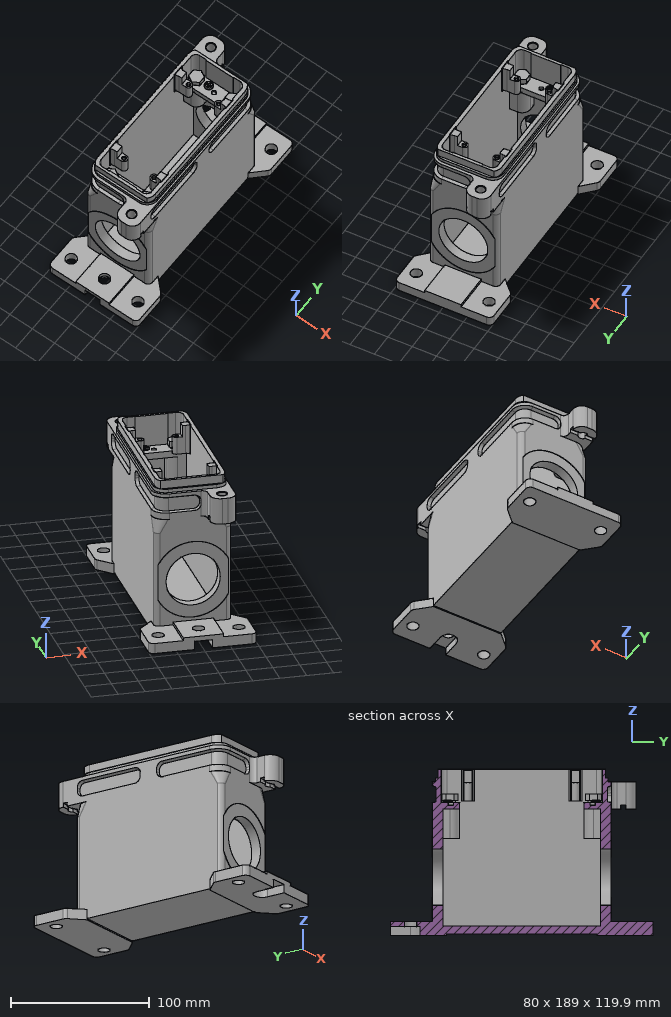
import cadquery as cq
import math

TOTAL_HEIGHT = 119.9
FLANGE_BOTTOM = 90.9
FLANGE_TOP = 110.8
LOWER_LIP_TOP = 113.5
BODY_BOTTOM = 1.0
CONE_BOTTOM = 80.6

FOOT_WIDTH = 80.0
FOOT_OUTER_Y = 94.5
FOOT_INNER_Y = 54.0
FOOT_THICKNESS = 8.0
FOOT_CORNER_RADIUS = 4.0
FOOT_HOLE_DIAMETER = 8.8
FOOT_HOLE_X = 30.0
FOOT_HOLE_Y = 80.0
PAD_WIDTH = 30.0
PAD_TOP = 10.2
NUT_SLOT_WIDTH = 13.3
NUT_SLOT_HEIGHT = 6.4

BODY_WIDTH = 57.4
BODY_LENGTH = 129.2
BODY_RADIUS = 4.1
CONE_TOP_RADIUS = 10.0

PORT_Z = 42.1
PORT_DIAMETER = 40.2
SEAT_DIAMETER = 59.0
SEAT_DEPTH = 0.3

FLANGE_RADIUS = 11.0
EAR_WIDTH = 19.0
EAR_END_Y = 82.4
EAR_RADIUS = 7.5
EAR_ROOT_RADIUS = 4.0
EAR_HOLE_Y = 73.1
EAR_HOLE_DIAMETER = 6.8
EAR_HOLE_CHAMFER = 0.5
EAR_GROOVE_WIDTH = 3.3
EAR_GROOVE_DEPTH = 3.0

GROOVE_BOTTOM = 95.9
GROOVE_TOP = 107.9
GROOVE_DEPTH = 2.8
GROOVE_END_RADIUS = 4.9
GROOVE_DRAFT_TOP = 1.1
GROOVE_DRAFT = 0.5
GROOVE_NEAR_Y = 7.2
GROOVE_FAR_Y = 62.5
GROOVE_END_X = 5.8

LOWER_LIP_WIDTH = 54.2
LOWER_LIP_LENGTH = 124.2
LIP_RADIUS = 9.2
UPPER_LIP_WIDTH = 52.0
UPPER_LIP_LENGTH = 120.6
UPPER_LIP_FULL_LENGTH = 125.8

CAVITY_WIDTH = 45.2
MOUTH_LENGTH = 116.6
MOUTH_RADIUS = 4.5
END_RIB_WIDTH = 24.6
END_RIB_DEPTH = 0.5
SHELF_Z = 96.0
SHELF_THICKNESS = 5.0
SHELF_INNER_Y = 44.8
FLOOR_Z = 7.0
WELL_LENGTH = 113.2
BOSS_BOTTOM = 70.0

BOLT_X = 16.0
BOLT_Y = 51.6
BOLT_ACROSS_FLATS = 10.0
BOLT_HEAD_HEIGHT = 6.0
WASHER_HEIGHT = 1.4
WASHER_DIAMETER = 8.0
SCREW_X = -6.2
SCREW_Y = 53.4
SCREW_DIAMETER = 6.8
SCREW_HEAD_HEIGHT = 1.5
SCREW_CHAMFER = 0.8
CROSS_LENGTH = 4.4
CROSS_WIDTH = 1.0
CROSS_DEPTH = 1.0
PIN_HOLE_Y = 51.1
PIN_HOLE_DIAMETER = 3.6
PIN_HOLE_DEPTH = 2.0

GUIDE_Y = 38.7
GUIDE_BOTTOM = 97.0
GUIDE_TOP = 119.0
GUIDE_WIDTH = 5.8
GUIDE_ROOT_WIDTH = 7.0
GUIDE_FACE_X = 17.4
GUIDE_FLARE_X = 19.8
POST_X = 13.5
POST_TOP = 110.2
POST_HOLE_DIAMETER = 2.0
POST_HOLE_CHAMFER = 0.7
POST_HOLE_DEPTH = 6.0
WALL_RELIEF_DEPTH = 0.6
WALL_RELIEF_WIDTH = 9.4

BOTH_SIDES = (-1, 1)
ARC_MIDPOINT = 1 - math.sin(math.radians(45))


def block(x_min, x_max, y_min, y_max, z_min, z_max):
    size = (x_max - x_min, y_max - y_min, z_max - z_min)
    return cq.Workplane("XY").box(*size, centered=False).translate((x_min, y_min, z_min))


def centred_block(width, length, z_min, z_max):
    return block(-width / 2, width / 2, -length / 2, length / 2, z_min, z_max)


def rounded_block(width, length, radius, z_min, z_max):
    return centred_block(width, length, z_min, z_max).edges("|Z").fillet(radius)


def rod(x, y, diameter, z_min, z_max):
    plane = cq.Workplane("XY", origin=(x, y, z_min))
    return plane.circle(diameter / 2).extrude(z_max - z_min)


def flared_mouth(x, y, z_top, hole_diameter, chamfer):
    """45 degree cone that chamfers the upper rim of a hole."""
    radius = hole_diameter / 2
    cone = cq.Solid.makeCone(radius, radius + chamfer, chamfer)
    return cq.Workplane(obj=cone).translate((x, y, z_top - chamfer))


def half_turned(shape):
    """The same shape turned half a turn about Z."""
    return shape.rotate((0, 0, 0), (0, 0, 1), 180)


def make_foot():
    """Foot at the +Y end, tapering at 45 degrees toward the body."""
    half_width = FOOT_WIDTH / 2
    neck_half_width = BODY_WIDTH / 2
    taper_y = FOOT_INNER_Y + half_width - neck_half_width
    outline = [
        (-neck_half_width, FOOT_INNER_Y),
        (-half_width, taper_y),
        (-half_width, FOOT_OUTER_Y),
        (half_width, FOOT_OUTER_Y),
        (half_width, taper_y),
        (neck_half_width, FOOT_INNER_Y),
    ]
    foot = cq.Workplane("XY").polyline(outline).close().extrude(FOOT_THICKNESS)
    foot = foot.edges("|Z").edges("not(<Y)").fillet(FOOT_CORNER_RADIUS)
    foot = foot.union(block(-PAD_WIDTH / 2, PAD_WIDTH / 2, FOOT_INNER_Y, FOOT_OUTER_Y, 0, PAD_TOP))
    for side in BOTH_SIDES:
        foot = foot.cut(rod(side * FOOT_HOLE_X, FOOT_HOLE_Y, FOOT_HOLE_DIAMETER, 0, FOOT_THICKNESS))
    return foot


def cut_centre_fixing(part):
    """Centre hole of the -Y foot with a round-ended nut slot beneath it."""
    part = part.cut(rod(0, -FOOT_HOLE_Y, FOOT_HOLE_DIAMETER, 0, PAD_TOP))
    part = part.cut(rod(0, -FOOT_HOLE_Y, NUT_SLOT_WIDTH, 0, NUT_SLOT_HEIGHT))
    half_width = NUT_SLOT_WIDTH / 2
    return part.cut(block(-half_width, half_width, -FOOT_OUTER_Y, -FOOT_HOLE_Y, 0, NUT_SLOT_HEIGHT))


def make_body():
    """Box body whose corner radius grows conically just below the flange."""
    body = rounded_block(BODY_WIDTH, BODY_LENGTH, BODY_RADIUS, BODY_BOTTOM, CONE_BOTTOM)
    small = cq.Sketch().rect(BODY_WIDTH, BODY_LENGTH).vertices().fillet(BODY_RADIUS)
    large = cq.Sketch().rect(BODY_WIDTH, BODY_LENGTH).vertices().fillet(CONE_TOP_RADIUS)
    large = large.moved(cq.Location(cq.Vector(0, 0, FLANGE_BOTTOM - CONE_BOTTOM)))
    cone = cq.Workplane("XY", origin=(0, 0, CONE_BOTTOM)).placeSketch(small, large).loft(ruled=True)
    return body.union(cone)


def make_ear():
    """Fixing ear at the +Y end, flush with the -X side of the flange."""
    height = FLANGE_TOP - FLANGE_BOTTOM
    outer_x = -BODY_WIDTH / 2
    inner_x = outer_x + EAR_WIDTH
    root_y = BODY_LENGTH / 2
    inside_y = root_y - FLANGE_RADIUS
    ear = (
        cq.Workplane("XY", origin=(0, 0, FLANGE_BOTTOM))
        .moveTo(outer_x, inside_y)
        .lineTo(outer_x, EAR_END_Y - EAR_RADIUS)
        .threePointArc(
            (outer_x + EAR_RADIUS * ARC_MIDPOINT, EAR_END_Y - EAR_RADIUS * ARC_MIDPOINT),
            (outer_x + EAR_RADIUS, EAR_END_Y),
        )
        .lineTo(inner_x - EAR_RADIUS, EAR_END_Y)
        .threePointArc(
            (inner_x - EAR_RADIUS * ARC_MIDPOINT, EAR_END_Y - EAR_RADIUS * ARC_MIDPOINT),
            (inner_x, EAR_END_Y - EAR_RADIUS),
        )
        .lineTo(inner_x, root_y + EAR_ROOT_RADIUS)
        .threePointArc(
            (inner_x + EAR_ROOT_RADIUS * ARC_MIDPOINT, root_y + EAR_ROOT_RADIUS * ARC_MIDPOINT),
            (inner_x + EAR_ROOT_RADIUS, root_y),
        )
        .lineTo(inner_x + EAR_ROOT_RADIUS, inside_y)
        .close()
        .extrude(height)
    )
    hole_x = (outer_x + inner_x) / 2
    hole = rod(hole_x, EAR_HOLE_Y, EAR_HOLE_DIAMETER, FLANGE_BOTTOM, FLANGE_TOP)
    mouth = flared_mouth(hole_x, EAR_HOLE_Y, FLANGE_TOP, EAR_HOLE_DIAMETER, EAR_HOLE_CHAMFER)
    groove = block(outer_x, inner_x, EAR_HOLE_Y - EAR_GROOVE_WIDTH / 2, EAR_HOLE_Y + EAR_GROOVE_WIDTH / 2,
                   FLANGE_BOTTOM, FLANGE_BOTTOM + EAR_GROOVE_DEPTH)
    return ear.cut(hole).cut(mouth).cut(groove)


def drafted_pocket(start, end):
    """Round-ended pocket along local x from start to end, sunk toward local -z, local y up.

    Its mouth lies on the local XY plane; the walls lean inward toward the floor."""
    def outline(inset, top):
        bottom = GROOVE_BOTTOM + inset
        sketch = cq.Sketch().rect(end - start - 2 * inset, top - bottom)
        sketch = sketch.vertices().fillet(GROOVE_END_RADIUS - inset)
        return sketch.moved(cq.Location(cq.Vector((start + end) / 2, (top + bottom) / 2, 0)))

    mouth = outline(0, GROOVE_TOP)
    floor = outline(GROOVE_DRAFT, GROOVE_TOP - GROOVE_DRAFT_TOP)
    floor = floor.moved(cq.Location(cq.Vector(0, 0, -GROOVE_DEPTH)))
    return cq.Workplane("XY").placeSketch(mouth, floor).loft(ruled=True).val()


def side_pocket(y_min, y_max):
    """Finger groove in the -X side."""
    plane = cq.Plane(origin=(-BODY_WIDTH / 2, 0, 0), xDir=(0, -1, 0), normal=(-1, 0, 0))
    return cq.Workplane(obj=drafted_pocket(-y_max, -y_min).moved(cq.Location(plane)))


def end_pocket(x_min, x_max):
    """Finger groove in the -Y end."""
    plane = cq.Plane(origin=(0, -BODY_LENGTH / 2, 0), xDir=(1, 0, 0), normal=(0, -1, 0))
    return cq.Workplane(obj=drafted_pocket(x_min, x_max).moved(cq.Location(plane)))


def corner_groove():
    """Finger groove that wraps around the (-X, -Y) corner of the flange."""
    axis_x = -BODY_WIDTH / 2 + FLANGE_RADIUS
    axis_y = -BODY_LENGTH / 2 + FLANGE_RADIUS
    floor_radius = FLANGE_RADIUS - GROOVE_DEPTH
    section = [
        (-FLANGE_RADIUS, GROOVE_BOTTOM),
        (-FLANGE_RADIUS, GROOVE_TOP),
        (-floor_radius, GROOVE_TOP - GROOVE_DRAFT_TOP),
        (-floor_radius, GROOVE_BOTTOM + GROOVE_DRAFT),
    ]
    bend = cq.Workplane("XZ").polyline(section).close().revolve(90, (0, 0), (0, 1))
    bend = bend.translate((axis_x, axis_y, 0))
    overshoot = 2 * FLANGE_RADIUS
    side_run = side_pocket(axis_y - overshoot, -GROOVE_NEAR_Y)
    side_run = side_run.intersect(block(-BODY_WIDTH, 0, axis_y, 0, 0, TOTAL_HEIGHT))
    end_run = end_pocket(axis_x - overshoot, GROOVE_END_X)
    end_run = end_run.intersect(block(axis_x, BODY_WIDTH, -BODY_LENGTH, 0, 0, TOTAL_HEIGHT))
    return bend, side_run, end_run


def make_flange():
    flange = rounded_block(BODY_WIDTH, BODY_LENGTH, FLANGE_RADIUS, FLANGE_BOTTOM, FLANGE_TOP)
    ear = make_ear()
    flange = flange.union(ear).union(half_turned(ear))
    for groove in (side_pocket(GROOVE_NEAR_Y, GROOVE_FAR_Y), *corner_groove()):
        flange = flange.cut(groove).cut(half_turned(groove))
    return flange


def make_lips():
    """Two-step rim above the flange; the upper step has its ends cut flat."""
    lower = rounded_block(LOWER_LIP_WIDTH, LOWER_LIP_LENGTH, LIP_RADIUS, FLANGE_TOP, LOWER_LIP_TOP)
    upper = rounded_block(
        UPPER_LIP_WIDTH, UPPER_LIP_FULL_LENGTH, LIP_RADIUS, LOWER_LIP_TOP, TOTAL_HEIGHT
    )
    upper = upper.intersect(centred_block(UPPER_LIP_WIDTH, UPPER_LIP_LENGTH, LOWER_LIP_TOP, TOTAL_HEIGHT))
    return lower.union(upper)


def make_mouth():
    """Open space above the shelves, with a shallow rib standing on each end wall."""
    mouth = rounded_block(CAVITY_WIDTH, MOUTH_LENGTH, MOUTH_RADIUS, SHELF_Z, TOTAL_HEIGHT)
    for end in BOTH_SIDES:
        rib_y = end * (MOUTH_LENGTH - END_RIB_DEPTH) / 2
        rib = centred_block(END_RIB_WIDTH, END_RIB_DEPTH, SHELF_Z, TOTAL_HEIGHT)
        mouth = mouth.cut(rib.translate((0, rib_y, 0)))
    return mouth


def make_shelf():
    """Shelf at the +Y end, with a bolt boss below it in each corner."""
    far_y = WELL_LENGTH / 2
    half_width = CAVITY_WIDTH / 2
    shelf_bottom = SHELF_Z - SHELF_THICKNESS
    boss_radius = BOLT_Y - SHELF_INNER_Y
    shelf = block(-half_width, half_width, SHELF_INNER_Y, far_y, shelf_bottom, SHELF_Z)
    for side in BOTH_SIDES:
        boss_x = side * BOLT_X
        wall_x = side * half_width
        web_x = sorted((boss_x, wall_x))
        inner_x = sorted((boss_x - side * boss_radius, wall_x))
        shelf = shelf.union(rod(boss_x, BOLT_Y, 2 * boss_radius, BOSS_BOTTOM, shelf_bottom))
        shelf = shelf.union(block(*web_x, SHELF_INNER_Y, BOLT_Y, BOSS_BOTTOM, shelf_bottom))
        shelf = shelf.union(block(*inner_x, BOLT_Y, far_y, BOSS_BOTTOM, shelf_bottom))
    return shelf


def make_cavity():
    """Mouth and well as one hollow, with the two shelves left standing in it."""
    well = centred_block(CAVITY_WIDTH, WELL_LENGTH, FLOOR_Z, SHELF_Z)
    shelf = make_shelf()
    return well.cut(shelf).cut(half_turned(shelf)).union(make_mouth())


def cut_port(part):
    """Cable port through both ends, each with a shallow flat seat."""
    plane = cq.Workplane("XZ", origin=(0, 0, PORT_Z))
    part = part.cut(plane.circle(PORT_DIAMETER / 2).extrude(BODY_LENGTH / 2, both=True))
    seat = cq.Workplane("XZ", origin=(0, -BODY_LENGTH / 2 + SEAT_DEPTH, PORT_Z))
    seat = seat.circle(SEAT_DIAMETER / 2).extrude(SEAT_DEPTH)
    return part.cut(seat).cut(half_turned(seat))


def make_screw(y):
    """Cross-recessed screw head."""
    head_top = SHELF_Z + SCREW_HEAD_HEIGHT
    head = rod(SCREW_X, y, SCREW_DIAMETER, SHELF_Z, head_top).faces(">Z").chamfer(SCREW_CHAMFER)
    for width, length in ((CROSS_LENGTH, CROSS_WIDTH), (CROSS_WIDTH, CROSS_LENGTH)):
        slot = centred_block(width, length, head_top - CROSS_DEPTH, head_top)
        head = head.cut(slot.translate((SCREW_X, y, 0)))
    return head


def add_shelf_hardware(part):
    across_corners = BOLT_ACROSS_FLATS / math.cos(math.radians(30))
    hexagon = cq.Workplane("XY", origin=(0, 0, WASHER_HEIGHT))
    hexagon = hexagon.polygon(6, across_corners).extrude(BOLT_HEAD_HEIGHT - WASHER_HEIGHT)
    bolt = hexagon.rotate((0, 0, 0), (0, 0, 1), 30).union(rod(0, 0, WASHER_DIAMETER, 0, WASHER_HEIGHT))
    for end in BOTH_SIDES:
        for side in BOTH_SIDES:
            part = part.union(bolt.translate((side * BOLT_X, end * BOLT_Y, SHELF_Z)))
        part = part.union(make_screw(end * SCREW_Y))
        part = part.cut(rod(0, end * PIN_HOLE_Y, PIN_HOLE_DIAMETER, SHELF_Z - PIN_HOLE_DEPTH, SHELF_Z))
    return part


def make_guide():
    """Guide rib and tapped post on the +X wall, centred on y = 0."""
    wall_x = CAVITY_WIDTH / 2 + WALL_RELIEF_DEPTH
    half_width = GUIDE_WIDTH / 2
    half_root = GUIDE_ROOT_WIDTH / 2
    outline = [
        (GUIDE_FACE_X, -half_width),
        (GUIDE_FLARE_X, -half_width),
        (wall_x, -half_root),
        (wall_x, half_root),
        (GUIDE_FLARE_X, half_width),
        (GUIDE_FACE_X, half_width),
    ]
    height = GUIDE_TOP - GUIDE_BOTTOM
    guide = cq.Workplane("XY", origin=(0, 0, GUIDE_BOTTOM)).polyline(outline).close().extrude(height)
    guide = guide.union(rod(POST_X, 0, GUIDE_WIDTH, GUIDE_BOTTOM, POST_TOP))
    guide = guide.union(block(POST_X, GUIDE_FACE_X, -half_width, half_width, GUIDE_BOTTOM, POST_TOP))
    guide = guide.cut(rod(POST_X, 0, POST_HOLE_DIAMETER, POST_TOP - POST_HOLE_DEPTH, POST_TOP))
    return guide.cut(flared_mouth(POST_X, 0, POST_TOP, POST_HOLE_DIAMETER, POST_HOLE_CHAMFER))


def add_guides(part):
    wall_x = CAVITY_WIDTH / 2
    half_relief = WALL_RELIEF_WIDTH / 2
    relief = block(wall_x, wall_x + WALL_RELIEF_DEPTH, -half_relief, half_relief, GUIDE_BOTTOM, TOTAL_HEIGHT)
    guide = make_guide()
    for end in BOTH_SIDES:
        shift = (0, end * GUIDE_Y, 0)
        part = part.cut(relief.translate(shift)).cut(half_turned(relief).translate(shift))
        part = part.union(guide.translate(shift)).union(half_turned(guide).translate(shift))
    return part


foot = make_foot()
result = make_body().union(foot).union(half_turned(foot))
result = cut_centre_fixing(result)
result = result.union(make_flange()).union(make_lips())
result = result.cut(make_cavity())
result = cut_port(result)
result = add_shelf_hardware(result)
result = add_guides(result)